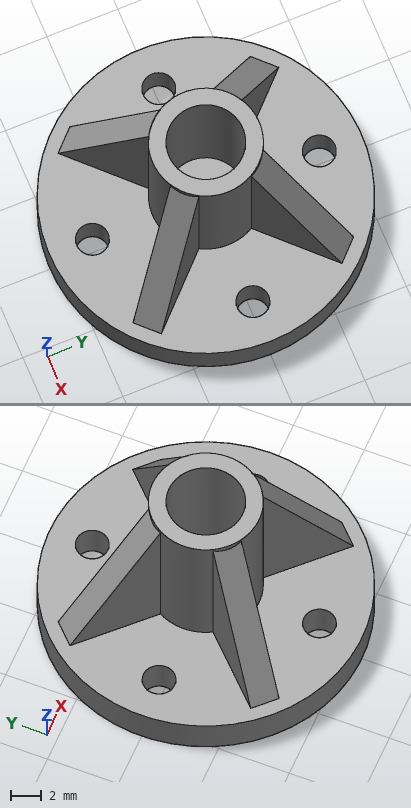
import cadquery as cq

flange_diameter = 22
flange_thickness = 2.5
total_height = 12.5

hub_diameter = 7.5
bore_diameter = 5.2
hub_height = total_height - flange_thickness

hole_diameter = 2.2
hole_circle_radius = 8.0
hole_count = 4

rib_width = 2.0
rib_foot_radius = 10.0
rib_top_radius = 3.5
rib_root_radius = (hub_diameter + bore_diameter) / 4
rib_count = 4
rib_start_angle = 45


def make_rib(angle):
    """Sloping rib from the hub top to the flange, turned about Z."""
    return (
        cq.Workplane("XZ", origin=(0, 0, flange_thickness))
        .moveTo(rib_root_radius, 0)
        .lineTo(rib_foot_radius, 0)
        .lineTo(rib_top_radius, hub_height)
        .lineTo(rib_root_radius, hub_height)
        .close()
        .extrude(rib_width / 2, both=True)
        .rotate((0, 0, 0), (0, 0, 1), angle)
    )


flange = cq.Workplane("XY").circle(flange_diameter / 2).extrude(flange_thickness)
hub = cq.Workplane("XY").circle(hub_diameter / 2).extrude(total_height)
body = flange.union(hub)

for index in range(rib_count):
    body = body.union(make_rib(rib_start_angle + index * 360 / rib_count))

bore = (
    cq.Workplane("XY", origin=(0, 0, flange_thickness))
    .circle(bore_diameter / 2)
    .extrude(hub_height)
)
mounting_holes = (
    cq.Workplane("XY")
    .polarArray(hole_circle_radius, 0, 360, hole_count)
    .circle(hole_diameter / 2)
    .extrude(flange_thickness)
)

result = body.cut(bore).cut(mounting_holes)